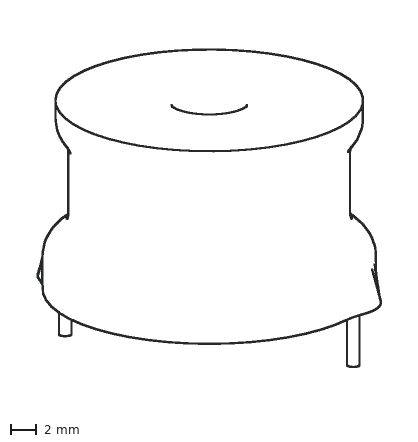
import cadquery as cq
import math

BODY_HEIGHT = 15.5
BASE_RADIUS = 12.95
BASE_HEIGHT = 2.73
NECK_RADIUS = 10.95
FLANGE_RADIUS = 11.95
FLANGE_HEIGHT = 1.5
BLEND_RADIUS = 2.0

HOLE_RADIUS = 2.9
HOLE_RIM_FILLET = 0.5

PIN_DIAMETER = 1.0
PIN_LENGTH = 5.0
PIN_OFFSET = 11.75

LUG_REACH = 13.845
LUG_SHOULDER_X = 13.5
LUG_SHOULDER_Y = 1.5
LUG_HALF_WIDTH = 3.5
LUG_HEIGHT = 2.6
LUG_ROOT_X = 10.0


def polar(radius, angle, center=(0.0, 0.0)):
    return (center[0] + radius * math.cos(angle), center[1] + radius * math.sin(angle))


def blend_angle(radius_step):
    """Sweep of each of the two equal arcs that make an S-blend across a radius step."""
    return math.acos(1 - radius_step / (2 * BLEND_RADIUS))


def make_body():
    lower_angle = blend_angle(BASE_RADIUS - NECK_RADIUS)
    upper_angle = blend_angle(FLANGE_RADIUS - NECK_RADIUS)
    flange_bottom = BODY_HEIGHT - FLANGE_HEIGHT
    neck_bottom = BASE_HEIGHT + 2 * BLEND_RADIUS * math.sin(lower_angle)
    neck_top = flange_bottom - 2 * BLEND_RADIUS * math.sin(upper_angle)

    base_center = (BASE_RADIUS - BLEND_RADIUS, BASE_HEIGHT)
    neck_bottom_center = (NECK_RADIUS + BLEND_RADIUS, neck_bottom)
    neck_top_center = (NECK_RADIUS + BLEND_RADIUS, neck_top)
    flange_center = (FLANGE_RADIUS - BLEND_RADIUS, flange_bottom)

    profile = (
        cq.Workplane("XZ")
        .moveTo(0, 0)
        .lineTo(BASE_RADIUS, 0)
        .lineTo(BASE_RADIUS, BASE_HEIGHT)
        .threePointArc(
            polar(BLEND_RADIUS, lower_angle / 2, base_center),
            polar(BLEND_RADIUS, lower_angle, base_center),
        )
        .threePointArc(
            polar(BLEND_RADIUS, math.pi + lower_angle / 2, neck_bottom_center),
            (NECK_RADIUS, neck_bottom),
        )
        .lineTo(NECK_RADIUS, neck_top)
        .threePointArc(
            polar(BLEND_RADIUS, math.pi - upper_angle / 2, neck_top_center),
            polar(BLEND_RADIUS, math.pi - upper_angle, neck_top_center),
        )
        .threePointArc(
            polar(BLEND_RADIUS, -upper_angle / 2, flange_center),
            (FLANGE_RADIUS, flange_bottom),
        )
        .lineTo(FLANGE_RADIUS, BODY_HEIGHT)
        .lineTo(0, BODY_HEIGHT)
        .close()
    )
    return profile.revolve(360, (0, 0, 0), (0, 1, 0))


def make_lug():
    """Lug on the +X side: a rounded nose at the bottom fading into the base circle at the top."""
    end_angle = math.asin(LUG_HALF_WIDTH / BASE_RADIUS)
    end_x, end_y = polar(BASE_RADIUS, end_angle)
    nose_points = [
        (LUG_SHOULDER_X, LUG_SHOULDER_Y),
        (LUG_REACH, 0),
        (LUG_SHOULDER_X, -LUG_SHOULDER_Y),
        (end_x, -end_y),
    ]
    nose_tangents = [(end_y, -end_x), (-end_y, -end_x)]

    outlines = (
        cq.Workplane("XY")
        .moveTo(LUG_ROOT_X, end_y)
        .lineTo(end_x, end_y)
        .spline(nose_points, tangents=nose_tangents, includeCurrent=True)
        .lineTo(LUG_ROOT_X, -end_y)
        .close()
        .workplane(offset=LUG_HEIGHT)
        .moveTo(LUG_ROOT_X, end_y)
        .lineTo(end_x, end_y)
        .threePointArc((BASE_RADIUS, 0), (end_x, -end_y))
        .lineTo(LUG_ROOT_X, -end_y)
        .close()
    )
    return outlines.loft(ruled=True)


def make_pin():
    embed = 1.0
    return (
        cq.Workplane("XY", origin=(PIN_OFFSET, 0, -PIN_LENGTH))
        .circle(PIN_DIAMETER / 2)
        .extrude(PIN_LENGTH + embed)
    )


def cut_center_hole(body):
    hole = cq.Workplane("XY").circle(HOLE_RADIUS).extrude(BODY_HEIGHT)
    bored = body.cut(hole)
    rim = cq.selectors.RadiusNthSelector(0)
    return bored.faces(">Z").edges(rim).fillet(HOLE_RIM_FILLET)


result = cut_center_hole(make_body())
for turn in (0, 180):
    for feature in (make_lug(), make_pin()):
        result = result.union(feature.rotate((0, 0, 0), (0, 0, 1), turn))